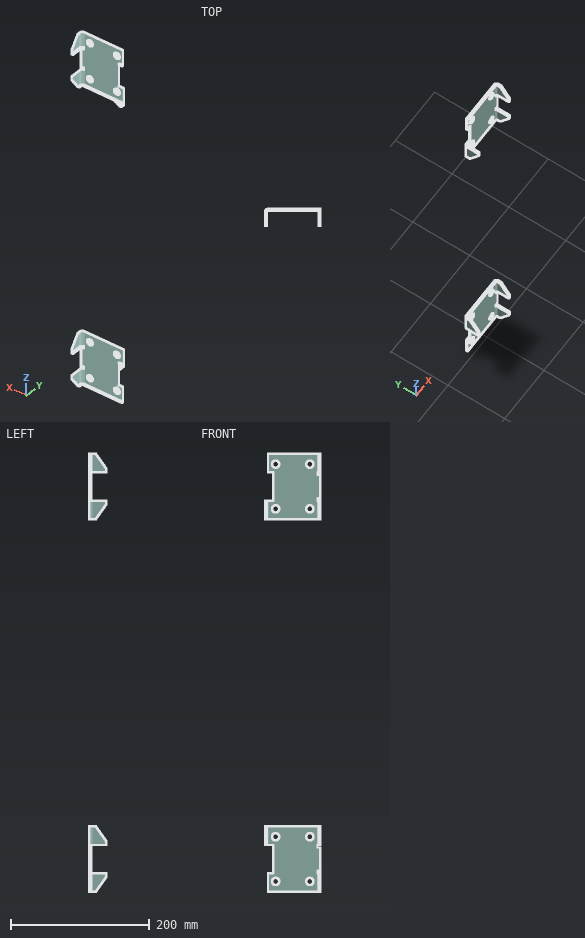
import cadquery as cq

overall_height = 635.0
bracket_width = 80.0
bracket_height = 95.0
bracket_depth = 25.0

sheet = 3.0
inner_radius = 1.0
bend_size = sheet + inner_radius

ear_height = 27.0
ear_root_width = 9.5
ear_tip_height = 6.0
relief_height = 3.0
notch_depth = 11.5

hole_diameter = 10.0
hole_spacing_x = 49.5
hole_spacing_z = 65.0

center_x = bracket_width / 2
center_z = bracket_height / 2
notch_height = bracket_height - 2 * ear_height
tab_height = notch_height - 2 * relief_height


def make_plate():
    """Flat plate with its back at Y = 0, a left notch, a right tab and four holes."""
    plate = cq.Workplane("XY").box(
        bracket_width - 2 * bend_size, sheet, bracket_height
    ).translate((center_x, -sheet / 2, center_z))
    tab = cq.Workplane("XY").box(
        2 * bend_size, sheet, tab_height
    ).translate((bracket_width - bend_size, -sheet / 2, center_z))
    notch = cq.Workplane("XY").box(
        2 * notch_depth, 4 * sheet, notch_height
    ).translate((0, 0, center_z))
    holes = (
        cq.Workplane("XZ", origin=(center_x, 0, center_z))
        .rect(hole_spacing_x, hole_spacing_z, forConstruction=True)
        .vertices()
        .circle(hole_diameter / 2)
        .extrude(sheet)
    )
    return plate.union(tab).cut(notch).cut(holes)


def make_lower_left_ear():
    """Bent strip trimmed to a tapered outline at the lower left of the bracket."""
    bend_diagonal = 0.5 ** 0.5
    outer_mid = bend_size * (1 - bend_diagonal)
    inner_mid = bend_size - inner_radius * bend_diagonal
    strip = (
        cq.Workplane("XY")
        .moveTo(bend_size, 0)
        .threePointArc((outer_mid, -outer_mid), (0, -bend_size))
        .lineTo(0, -bracket_depth)
        .lineTo(sheet, -bracket_depth)
        .lineTo(sheet, -bend_size)
        .threePointArc((inner_mid, -inner_mid), (bend_size, -sheet))
        .close()
        .extrude(ear_height)
    )
    outline = (
        cq.Workplane("YZ")
        .polyline([
            (0, 0),
            (-ear_root_width, 0),
            (-bracket_depth, ear_height - ear_tip_height),
            (-bracket_depth, ear_height),
            (0, ear_height),
        ])
        .close()
        .extrude(bend_size)
    )
    return strip.intersect(outline)


def make_upright_bracket():
    """Bracket with two right ears and one lower-left ear, standing on Z = 0."""
    left_ear = make_lower_left_ear()
    lower_right_ear = left_ear.mirror("YZ", (center_x, 0, 0))
    upper_right_ear = lower_right_ear.mirror("XY", (0, 0, center_z))
    return make_plate().union(left_ear).union(lower_right_ear).union(upper_right_ear)


def make_bracket(inverted):
    """Upper bracket, or its mirrored partner at the bottom of the layout."""
    bracket = make_upright_bracket().translate((0, 0, overall_height - bracket_height))
    if inverted:
        bracket = bracket.mirror("XY", (0, 0, overall_height / 2))
    return bracket.val()


brackets = []
for inverted in (False, True):
    brackets.append(make_bracket(inverted))

result = cq.Compound.makeCompound(brackets)